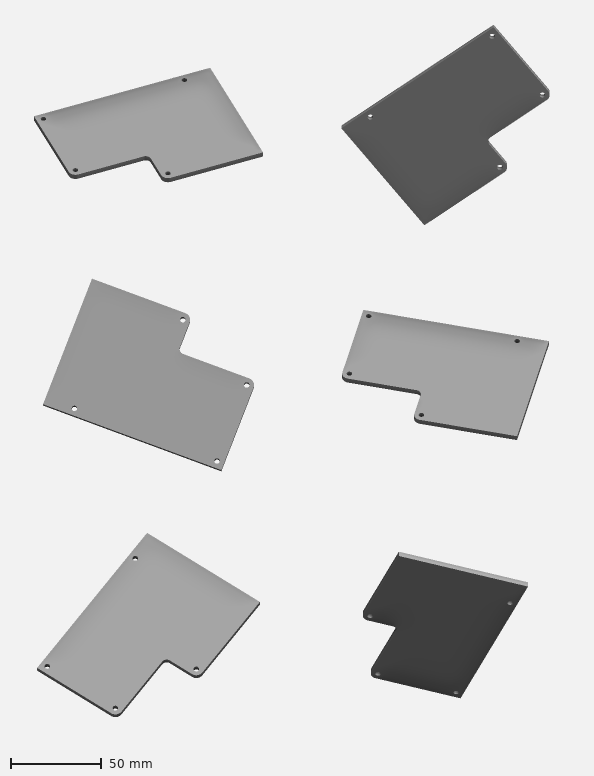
import cadquery as cq

width = 76.0
length = 105.0
thickness = 3.0

foot_width = 54.0
notch_length = 46.0
outer_radius = 4.0
inner_radius = 3.0

hole_diameter = 3.0
hole_inset = 4.0
upper_hole_y = 88.0


def make_plate():
    """L-shaped plate with its -X, -Y corner at the origin."""
    return (
        cq.Workplane("XY")
        .moveTo(0, 0)
        .lineTo(foot_width, 0)
        .lineTo(foot_width, notch_length)
        .lineTo(width, notch_length)
        .lineTo(width, length)
        .lineTo(0, length)
        .close()
        .extrude(thickness)
    )


def round_corner(plate, x, y, radius):
    """Fillet the vertical edge nearest to the point (x, y)."""
    edge = cq.selectors.NearestToPointSelector((x, y, thickness / 2))
    return plate.edges("|Z").edges(edge).fillet(radius)


plate = make_plate()
plate = round_corner(plate, foot_width, 0, outer_radius)
plate = round_corner(plate, width, notch_length, outer_radius)
plate = round_corner(plate, foot_width, notch_length, inner_radius)

hole_centres = [
    (hole_inset, hole_inset),
    (foot_width - hole_inset, hole_inset),
    (width - hole_inset, notch_length + hole_inset),
    (hole_inset, upper_hole_y),
]
holes = (
    cq.Workplane("XY")
    .pushPoints(hole_centres)
    .circle(hole_diameter / 2)
    .extrude(thickness)
)

result = plate.cut(holes)